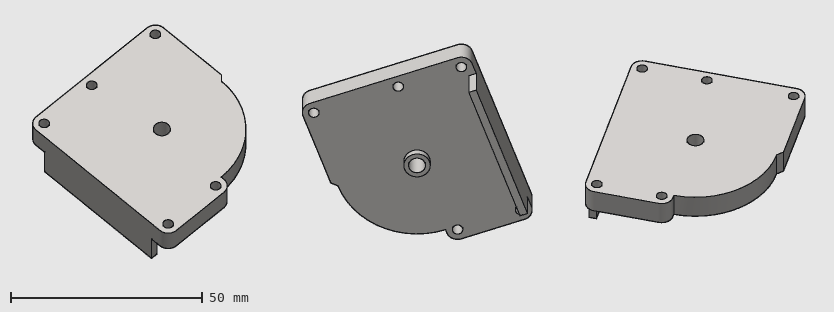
import cadquery as cq
import math

length = 52.0
width = 47.0
plate_thickness = 6.8
corner_radius = 3.0

pivot_x = length / 2
pivot_y = 23.55
round_radius = 22.0
notch_size = width - pivot_y - round_radius

screw_diameter = 2.75
pivot_diameter = 4.4
screw_inset = 3.0
middle_screw_y = pivot_y - screw_inset

boss_diameter = 6.9
boss_height = 2.1
total_height = 15.4
skirt_inset = 6.15
skirt_thickness = 2.1


def make_plate():
    diagonal = round_radius * math.sqrt(0.5)
    outline = (
        cq.Workplane("XY")
        .lineTo(length, 0)
        .lineTo(length, pivot_y)
        .lineTo(pivot_x + round_radius, pivot_y)
        .threePointArc(
            (pivot_x + diagonal, pivot_y + diagonal),
            (pivot_x, pivot_y + round_radius),
        )
        .lineTo(pivot_x - notch_size, width)
        .lineTo(0, width)
        .close()
    )
    plate = outline.extrude(plate_thickness)
    for x, y in [(0, 0), (length, 0), (length, pivot_y), (0, width)]:
        corner = cq.selectors.NearestToPointSelector((x, y, plate_thickness / 2))
        plate = plate.edges("|Z").edges(corner).fillet(corner_radius)
    return plate


def make_boss():
    return (
        cq.Workplane("XY")
        .center(pivot_x, pivot_y)
        .circle(boss_diameter / 2)
        .extrude(-boss_height)
    )


def make_skirt():
    skirt_drop = total_height - plate_thickness
    skirt_length = length - 2 * skirt_inset
    return (
        cq.Workplane("XY")
        .center(skirt_inset, 0)
        .rect(skirt_length, skirt_thickness, centered=False)
        .extrude(-skirt_drop)
    )


def drill(body, points, diameter):
    """Cut vertical holes through the full height of the body."""
    cutters = (
        cq.Workplane("XY", origin=(0, 0, plate_thickness))
        .pushPoints(points)
        .circle(diameter / 2)
        .extrude(-total_height)
    )
    return body.cut(cutters)


left_x = screw_inset
right_x = length - screw_inset
screw_points = [
    (left_x, screw_inset),
    (left_x, middle_screw_y),
    (left_x, width - screw_inset),
    (right_x, screw_inset),
    (right_x, middle_screw_y),
]

result = make_plate().union(make_boss()).union(make_skirt())
result = drill(result, screw_points, screw_diameter)
result = drill(result, [(pivot_x, pivot_y)], pivot_diameter)